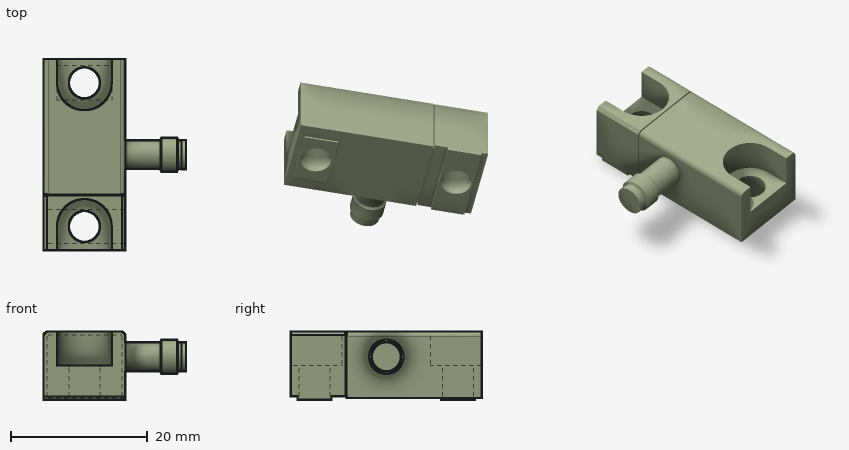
import cadquery as cq

width = 12.0
length = 28
height = 10.0

front_length = 8.0
gap = 0.2
front_bottom = 0.5
rear_bottom = 0.25
front_chamfer = 0.5
rear_fillet = 0.75
neck_inset = 0.5
rear_start = front_length + gap

hole_diameter = 4.5
seat_width = 8.0
seat_depth = 5.0
hole_inset = 3.5

pad_length = 5.0
rear_pad_width = seat_width

connector_y = length / 2
connector_z = 6.3
connector_length = 8.88
shaft_diameter = 4.25
collar_diameter = 5.0
collar_cone_length = 0.17
collar_start = 5.1
collar_end = 7.67
tip_diameter = 4.3
tip_length = 0.7


def centered_box(box_width, y_start, y_end, z_start, z_end):
    """Box centred on X = 0 between the given Y and Z limits."""
    return cq.Workplane("XY").box(
        box_width, y_end - y_start, z_end - z_start, centered=(True, False, False)
    ).translate((0, y_start, z_start))


def make_front_block():
    block = centered_box(width, 0, front_length, front_bottom, height)
    block = block.edges("|Y and >Z").chamfer(front_chamfer)
    pad = centered_box(
        width, hole_inset - pad_length / 2, hole_inset + pad_length / 2, 0, front_bottom
    )
    return block.union(pad)


def make_rear_block():
    block = centered_box(width, rear_start, length, rear_bottom, height)
    block = block.edges("|Y and >Z").fillet(rear_fillet)
    pad_middle = length - hole_inset
    pad = centered_box(
        rear_pad_width, pad_middle - pad_length / 2, pad_middle + pad_length / 2, 0, rear_bottom
    )
    return block.union(pad)


def make_neck():
    """Inset core bridging the gap, its top corners concentric with the rear block's."""
    neck = centered_box(
        width - 2 * neck_inset, front_length, rear_start, front_bottom, height - neck_inset
    )
    return neck.edges("|Y and >Z").fillet(rear_fillet - neck_inset)


def screw_seat(hole_y, end_y):
    """Round-ended pocket open towards end_y, with a through hole at hole_y."""
    floor = height - seat_depth
    round_end = (
        cq.Workplane("XY", origin=(0, hole_y, floor)).circle(seat_width / 2).extrude(seat_depth)
    )
    channel = centered_box(seat_width, min(hole_y, end_y), max(hole_y, end_y), floor, height)
    hole = cq.Workplane("XY", origin=(0, hole_y, 0)).circle(hole_diameter / 2).extrude(height)
    return round_end.union(channel).union(hole)


def make_connector():
    """Stepped round stem turned about an axis parallel to X; both collar ends taper to the shaft."""
    shaft_radius = shaft_diameter / 2
    collar_radius = collar_diameter / 2
    tip_radius = tip_diameter / 2
    tip_start = connector_length - tip_length
    profile = [
        (0, 0),
        (0, shaft_radius),
        (collar_start, shaft_radius),
        (collar_start + collar_cone_length, collar_radius),
        (collar_end - collar_cone_length, collar_radius),
        (collar_end, shaft_radius),
        (tip_start, shaft_radius),
        (tip_start, tip_radius),
        (connector_length, tip_radius),
        (connector_length, 0),
    ]
    stem = cq.Workplane("XY").polyline(profile).close().revolve(360, (0, 0, 0), (1, 0, 0))
    return stem.translate((width / 2, connector_y, connector_z))


body = make_front_block().union(make_neck()).union(make_rear_block())
body = body.cut(screw_seat(hole_inset, 0))
body = body.cut(screw_seat(length - hole_inset, length))
result = body.union(make_connector())